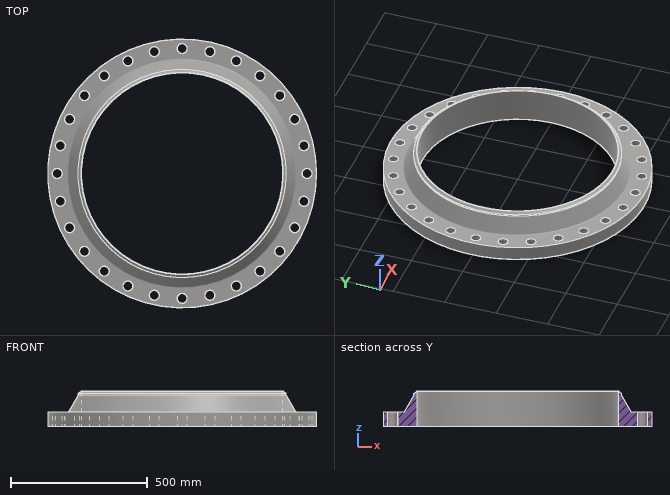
import cadquery as cq
import math

flange_diameter = 984.0
flange_thickness = 54.0
bore_diameter = 736.0

bolt_circle_diameter = 914.0
bolt_hole_count = 28
bolt_hole_diameter = 35.0

total_height = 130.0
neck_end_diameter = 762.0
neck_root_diameter = 832.0
straight_end_height = 6.0
root_fillet_radius = 6.0

weld_land_width = 2.0
weld_bevel_angle = 37.5


def make_body():
    """Revolve the flange and neck section, then round the root of the neck."""
    bore_radius = bore_diameter / 2
    neck_end_radius = neck_end_diameter / 2
    land_radius = bore_radius + weld_land_width
    bevel_height = (neck_end_radius - land_radius) * math.tan(math.radians(weld_bevel_angle))
    bevel_base = total_height - bevel_height

    body = (
        cq.Workplane("XZ")
        .moveTo(bore_radius, 0)
        .lineTo(flange_diameter / 2, 0)
        .lineTo(flange_diameter / 2, flange_thickness)
        .lineTo(neck_root_diameter / 2, flange_thickness)
        .lineTo(neck_end_radius, bevel_base - straight_end_height)
        .lineTo(neck_end_radius, bevel_base)
        .lineTo(land_radius, total_height)
        .lineTo(bore_radius, total_height)
        .close()
        .revolve(360, (0, 0, 0), (0, 1, 0))
    )
    root_edge = cq.selectors.RadiusNthSelector(-2)
    return body.edges(root_edge).fillet(root_fillet_radius)


def make_bolt_holes():
    """Cylinders that pass through the flange on the bolt circle."""
    return (
        cq.Workplane("XY")
        .polarArray(bolt_circle_diameter / 2, 0, 360, bolt_hole_count)
        .circle(bolt_hole_diameter / 2)
        .extrude(flange_thickness)
    )


result = make_body().cut(make_bolt_holes())